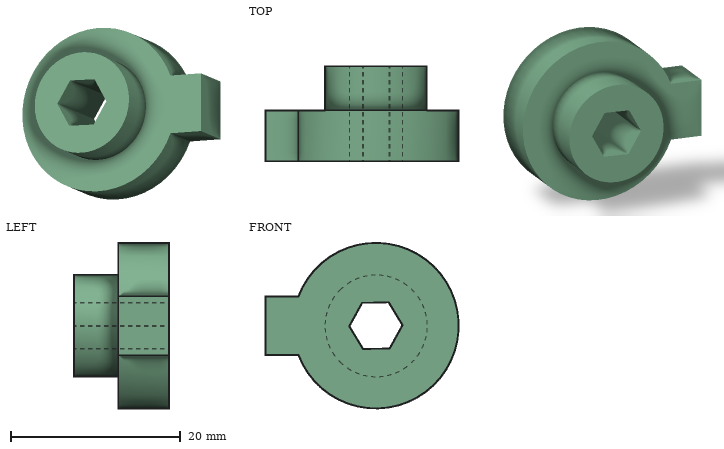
import cadquery as cq
import math

disc_diameter = 19.5
disc_thickness = 6.0
boss_diameter = 12.0
total_length = 11.2
tab_reach = 13.0
tab_height = 6.9
hex_across_flats = 5.4
hex_tilt = 1.2


def make_cylinder(diameter, length):
    """Cylinder on the Y axis, from Y = 0 to Y = length."""
    return cq.Workplane("XZ").circle(diameter / 2).extrude(-length)


def make_tab():
    """Rectangular tab as thick as the disc, reaching from the axis toward -X."""
    tab = cq.Workplane("XY").box(tab_reach, disc_thickness, tab_height, centered=(False, False, True))
    return tab.translate((-tab_reach, 0, 0))


def make_hex_bore():
    """Hexagonal prism through the whole length, with its flats nearly level at top and bottom."""
    across_corners = hex_across_flats / math.cos(math.pi / 6)
    return (
        cq.Workplane("XZ")
        .transformed(rotate=(0, 0, hex_tilt))
        .polygon(6, across_corners)
        .extrude(-total_length)
    )


disc = make_cylinder(disc_diameter, disc_thickness)
boss = make_cylinder(boss_diameter, total_length)
result = disc.union(boss).union(make_tab()).cut(make_hex_bore())